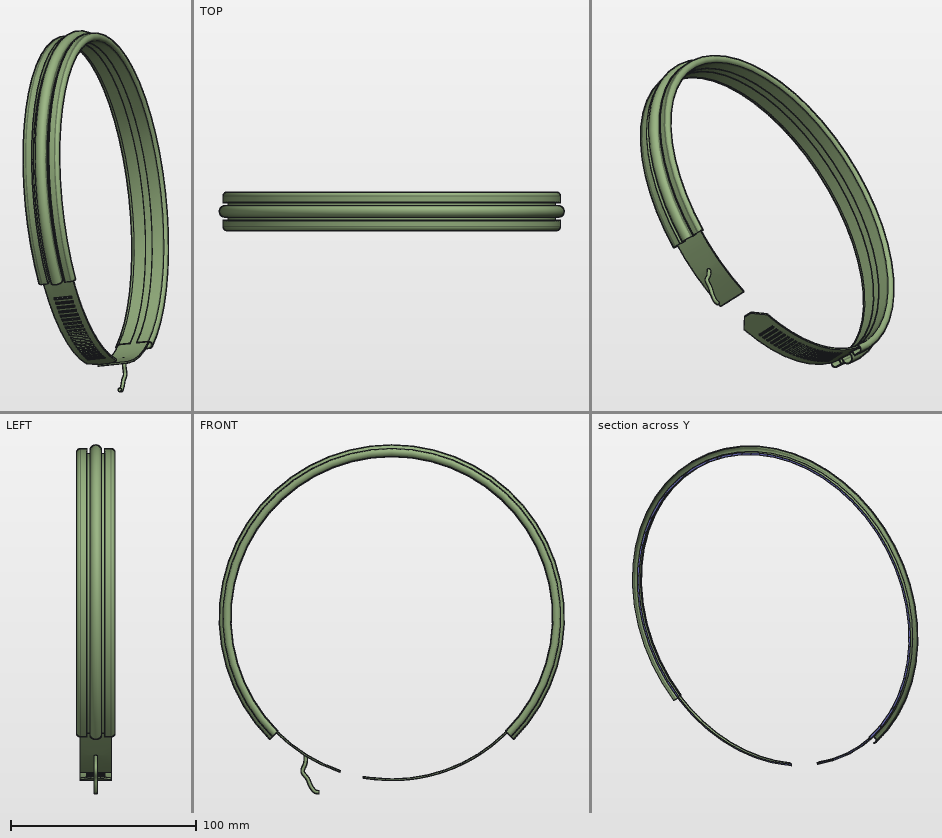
import cadquery as cq
import math


sheet = 0.4
channel_width = 21.0
channel_half_gap_angle = 45.0
bead_radius = 3.2
crest_radius = 93.205
shoulder_radius = 91.2
fold_inner_y = 4.65
lip_edge_y = 1.9

strap_inner_radius = 87.1
strap_thickness = 1.0
strap_width = 17.0
plain_end_angle = 108.5
tongue_end_angle = 100.2
tongue_cut_height = 5.0
tongue_corner = 6.0

slot_count = 20
slot_length = 10.0
slot_width = 1.4
first_slot_angle = 52.4
slot_pitch_angle = 2.0
slot_cut_depth = 4.0

wire_diameter = 2.0
hook_points = [
    (-46.4, -74.3),
    (-46.9, -79.5),
    (-48.1, -83.2),
    (-45.7, -86.6),
    (-44.0, -90.4),
    (-42.2, -93.2),
    (-39.2, -94.31),
]

channel_end_angle = 90 - channel_half_gap_angle
channel_start_angle = 90 + channel_half_gap_angle - 360
strap_outer_radius = strap_inner_radius + strap_thickness
strap_middle_radius = strap_inner_radius + strap_thickness / 2
lip_inner_radius = strap_inner_radius - sheet
groove_radius = strap_outer_radius + sheet
fold_radius = (shoulder_radius - lip_inner_radius) / 2
fold_center_radius = lip_inner_radius + fold_radius
fold_edge_y = channel_width / 2
fold_center_y = fold_edge_y - fold_radius
bead_center_radius = crest_radius - bead_radius


def revolve_between(profile, start_angle, end_angle):
    """Revolve a (radius, Y) profile about the Y axis."""
    ring = profile.revolve(end_angle - start_angle, (0, 0, 0), (0, 1, 0))
    return ring.rotate((0, 0, 0), (0, 1, 0), start_angle)


def arc_point(center_radius, center_y, arc_radius, degrees):
    """Point on an arc of the channel section; 0 degrees is radially outward, 90 degrees is +Y."""
    angle = math.radians(degrees)
    return (center_radius + arc_radius * math.cos(angle), center_y + arc_radius * math.sin(angle))


def trace_half(crest, offset):
    """Steps (end point, arc mid point or None) along one sheet surface, from the crest to a lip edge on +Y.

    The offset is the distance inward from the outer surface of the sheet.
    """
    bead = bead_radius - offset
    fold = fold_radius - offset
    return [
        (crest, None),
        ((bead_center_radius, bead), arc_point(bead_center_radius, 0, bead, 45)),
        ((groove_radius - offset, bead), None),
        ((groove_radius - offset, fold_inner_y + offset), None),
        ((shoulder_radius - offset, fold_inner_y + offset), None),
        ((shoulder_radius - offset, fold_center_y), None),
        ((lip_inner_radius + offset, fold_center_y), arc_point(fold_center_radius, fold_center_y, fold, 90)),
        ((lip_inner_radius + offset, lip_edge_y), None),
    ]


def backward(steps):
    """The same steps traced from the last point to the first."""
    ends = [end for end, middle in steps]
    middles = [None] + [middle for end, middle in reversed(steps)][:-1]
    return list(zip(reversed(ends), middles))


def mirrored(steps):
    """The same steps on the -Y side."""
    return [((r, -y), middle and (middle[0], -middle[1])) for (r, y), middle in steps]


def make_channel():
    outer = trace_half((crest_radius, 0), 0)
    inner = trace_half((crest_radius - sheet, 0), sheet)
    steps = outer + backward(inner) + mirrored(inner)[1:] + backward(mirrored(outer))
    profile = cq.Workplane("XY").moveTo(*outer[0][0])
    for end, middle in steps[1:]:
        profile = profile.threePointArc(middle, end) if middle else profile.lineTo(*end)
    return revolve_between(profile.close(), channel_start_angle, channel_end_angle)


def make_strap():
    profile = cq.Workplane("XY").moveTo(strap_middle_radius, 0)
    profile = profile.rect(strap_thickness, strap_width)
    return revolve_between(profile, plain_end_angle - 360, tongue_end_angle)


def make_tongue_corner_cuts():
    tip_x = strap_inner_radius * math.cos(math.radians(tongue_end_angle))
    cuts = []
    for side in (1, -1):
        edge_y = side * strap_width / 2
        corner = (
            cq.Workplane("XY", origin=(0, 0, -strap_outer_radius))
            .moveTo(tip_x + tongue_corner, edge_y)
            .lineTo(tip_x - strap_thickness, edge_y)
            .lineTo(tip_x - strap_thickness, edge_y - side * tongue_corner)
            .lineTo(tip_x, edge_y - side * tongue_corner)
            .close()
            .extrude(tongue_cut_height)
        )
        cuts.append(corner)
    return cuts


def make_slot_cuts():
    cutter = cq.Workplane("XY").box(slot_cut_depth, slot_length, slot_width)
    cutter = cutter.translate((strap_middle_radius, 0, 0))
    cuts = []
    for index in range(slot_count):
        angle = first_slot_angle + index * slot_pitch_angle
        cuts.append(cutter.rotate((0, 0, 0), (0, 1, 0), angle))
    return cuts


def make_hook():
    path_points = [cq.Vector(x, 0, z) for x, z in hook_points]
    start_direction = cq.Vector(0, 0, -1)
    end_direction = cq.Vector(1, 0, 0)
    path = cq.Edge.makeSpline(path_points, tangents=[start_direction, end_direction])
    start = cq.Plane(origin=path_points[0], xDir=(1, 0, 0), normal=start_direction)
    return cq.Workplane(start).circle(wire_diameter / 2).sweep(cq.Wire.assembleEdges([path]))


strap = make_strap()
for cut in make_tongue_corner_cuts() + make_slot_cuts():
    strap = strap.cut(cut)

result = strap.union(make_channel()).union(make_hook())